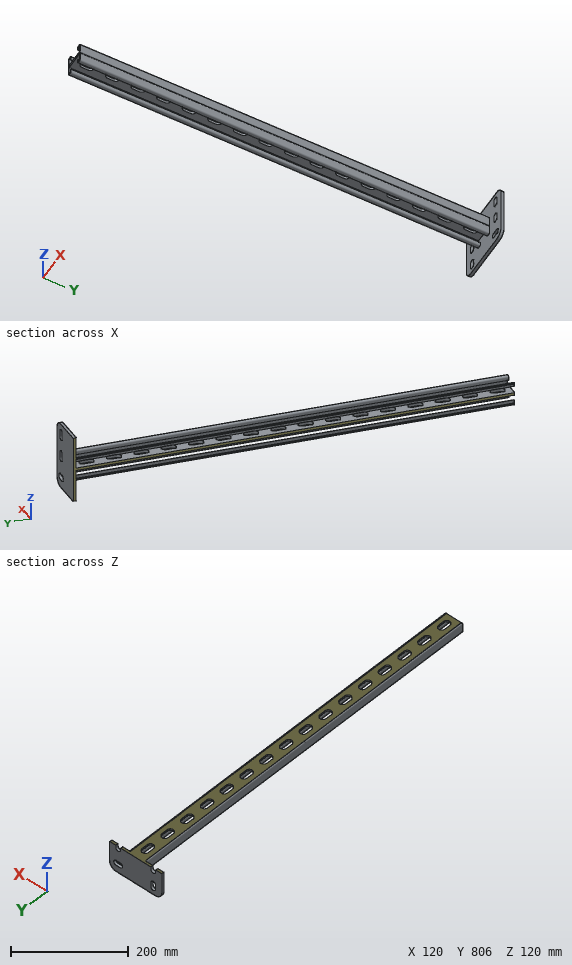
import cadquery as cq

total_length = 806.0

plate_side = 120.0
plate_thickness = 6.0
plate_corner_radius = 15.0
plate_slot_offset = 40.0
plate_slot_length = 20.0
plate_slot_width = 10.5

rail_width = 41.0
channel_height = 21.0
sheet_thickness = 2.8
bend_radius = 3.0
opening_width = 22.5
lip_depth = 8.0
lip_end_radius = 1.2
rail_length = total_length - plate_thickness

web_slot_count = 16
web_slot_pitch = rail_length / web_slot_count
web_slot_length = 27.0
web_slot_width = 14.0


def bar(x_min, x_max, z_min, z_max):
    """Rectangular bar running the whole rail length from Y = 0."""
    size_x = x_max - x_min
    size_z = z_max - z_min
    block = cq.Workplane("XY").box(size_x, rail_length, size_z, centered=False)
    return block.translate((x_min, 0, z_min))


def make_channel():
    """Upper channel, web on Z = 0, with its lips turned in and back down."""
    half_width = rail_width / 2
    half_opening = opening_width / 2
    inner_half_width = half_width - sheet_thickness

    channel = bar(-half_width, half_width, 0, channel_height)
    channel = channel.cut(bar(-half_opening, half_opening, sheet_thickness, channel_height))
    channel = channel.faces("<Z or >Z").edges("|Y").fillet(bend_radius)

    channel = channel.cut(
        bar(-inner_half_width, inner_half_width, sheet_thickness, channel_height - lip_depth)
    )

    lip_gap = bar(
        half_opening + sheet_thickness,
        inner_half_width,
        sheet_thickness,
        channel_height - sheet_thickness,
    )
    channel = channel.cut(lip_gap).cut(lip_gap.mirror("YZ"))

    lip_end_z = channel_height - lip_depth
    lip_end_zone = cq.selectors.BoxSelector(
        (-inner_half_width, 0, lip_end_z - sheet_thickness / 2),
        (inner_half_width, rail_length, lip_end_z + sheet_thickness / 2),
    )
    return channel.edges("|Y").edges(lip_end_zone).fillet(lip_end_radius)


def make_rail():
    """Back-to-back channels with a row of long slots through both webs."""
    channel = make_channel()
    rail = channel.union(channel.mirror("XY"))
    web_slots = (
        cq.Workplane("XY")
        .center(0, rail_length / 2)
        .rarray(8, web_slot_pitch, 1, web_slot_count)
        .slot2D(web_slot_length, web_slot_width, 90)
        .extrude(channel_height, both=True)
    )
    return rail.cut(web_slots)


def make_plate():
    """Square wall plate with three slots down each side."""
    plate = (
        cq.Workplane("XY")
        .box(plate_side, plate_thickness, plate_side)
        .edges("|Y")
        .fillet(plate_corner_radius)
    )
    slot_groups = [
        (90, [(-1, -1), (-1, 0), (1, 0), (1, 1)]),
        (0, [(-1, 1), (1, -1)]),
    ]
    for angle, places in slot_groups:
        centres = [(x * plate_slot_offset, z * plate_slot_offset) for x, z in places]
        slots = (
            cq.Workplane("XZ")
            .pushPoints(centres)
            .slot2D(plate_slot_length, plate_slot_width, angle)
            .extrude(plate_thickness, both=True)
        )
        plate = plate.cut(slots)
    return plate.translate((0, rail_length + plate_thickness / 2, 0))


result = make_rail().union(make_plate())